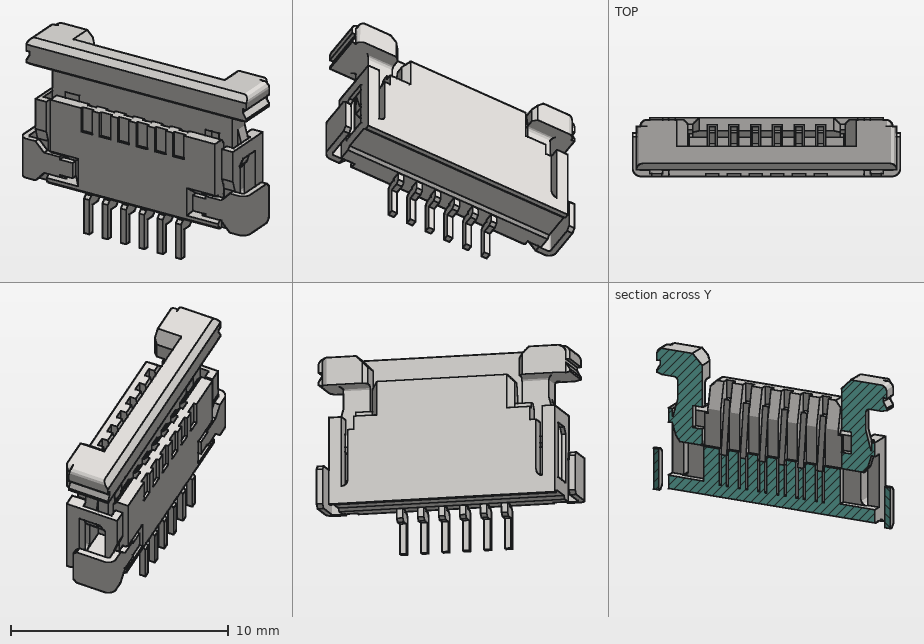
import cadquery as cq


length = 12.3
depth = 2.7
front = -depth / 2
rear = depth / 2
small = 0.01

contact_count = 6
contact_pitch = 1.0
contact_width = 0.3
contact_thickness = 0.3
contact_foot = -2.0
cavity_width = 0.45
cavity_front = -0.91
cavity_rear = 1.03
cavity_floor = 0.74
contact_xs = [(i - (contact_count - 1) / 2) * contact_pitch for i in range(contact_count)]

core_half = 4.48
core_height = 4.29
core_edge_step = 0.1
rim_height = 4.06
shoulder_half = 4.18
shoulder_foot = 3.45
slab_half = 4.65
slab_height = 0.43
underside_step = 0.15
underside_front = -0.44
underside_rear = 1.12
front_groove_width = 0.6
front_groove_depth = 0.14
front_groove_bottom = 3.1

guide_half = 3.38
guide_top = 5.62
guide_chamfer = 0.3
guide_lip_y = 0.75

slot_front = -0.6
slot_rear = 0.6
cable_rear = 0.44
cable_half = 3.57
cable_front = -0.54
cable_floor = 2.5
leg_floor = 0.81
mouth_height = 0.22
mouth_spread = 0.18

arm_inner = 4.77
arm_outer = 5.36
arm_wall = 0.2
arm_pocket_front = -0.84
arm_top = rim_height
arm_front = -1.22
arm_foot_front = -1.03
taper_top = 2.55
taper_bottom = 1.99
window_rear = 0.7
window_top = 3.37
window_corner = 0.28

head_half = 5.98
head_rear_half = 5.79
head_front = -1.05
head_rear = 1.25
head_top = 6.9
head_bottom = 5.61
head_round = 0.31
head_rail_rear = head_rear - head_round
head_front_chamfer = 0.3
head_bottom_chamfer = 0.09
groove_top = 6.27
groove_bottom = 6.11
groove_end = 5.8
neck_half = 4.88
neck_front = -0.53
neck_rear = 0.58
neck_fillet = 0.2
neck_bottom = 2.51
tip_height = 0.28
tip_inset = 0.11
entry_half = 3.6
entry_front = 0.05
entry_flare = 0.5
entry_corner = 0.2
slit_inner = 3.42
slit_outer = 4.18
slit_bottom = 3.32
slit_top = 4.44
slit_taper = 0.11
latch_front = -0.02
latch_top = 4.6
latch_peak = 3.57
latch_low_half = 4.99

clip_thickness = 0.3
clip_height = taper_bottom
clip_rear = 0.65
clip_corner = 0.18
clip_bend = 0.39
flare_outer = 5.28
flare_inner = 4.81
tab_step = 3.96
tab_end = 3.26
tab_low = 0.62
tab_high = 1.39
tab_wide_low = 0.5
tab_wide_high = 1.53

recess_end = 2.95
recess_low = 0.28
recess_high = 1.69
recess_wide_end = 3.69
recess_wide_low = 0.43
recess_wide_high = 1.57


def block(x0, x1, y0, y1, z0, z1):
    """Box between two opposite corners."""
    return cq.Workplane("XY").box(x1 - x0, y1 - y0, z1 - z0, centered=False).translate((x0, y0, z0))


def along_x(points, x0, x1):
    """(Y, Z) outline swept from x0 to x1."""
    return cq.Workplane("YZ", origin=(x0, 0, 0)).polyline(points).close().extrude(x1 - x0)


def along_y(points, y0, y1):
    """(X, Z) outline swept from y0 to y1."""
    return cq.Workplane("XZ", origin=(0, y0, 0)).polyline(points).close().extrude(y0 - y1)


def with_mirror(shape):
    """Shape together with its mirror image about X = 0."""
    return shape.union(shape.mirror("YZ"))


def make_core():
    """Main block with the front foot strip and the raised cable guide."""
    core = block(-core_half, core_half, front, rear, 0, core_height)
    slab = block(-slab_half, slab_half, front, arm_foot_front, 0, slab_height)
    edge_step = block(-slab_half, slab_half, front, front + core_edge_step, 0, core_edge_step)
    rim = block(-core_half, core_half, rear - guide_chamfer, rear, rim_height, core_height)
    rim_end = block(shoulder_half, core_half, slot_rear, rear, shoulder_foot, core_height)
    core = core.union(slab).cut(edge_step).cut(rim).cut(with_mirror(rim_end))
    guide = along_x(
        [(cable_rear, 0), (rear, 0), (rear, guide_top), (guide_lip_y, guide_top), (cable_rear, core_height)],
        -guide_half, guide_half,
    )
    guide = guide.faces("<X or >X").edges(">Z or >Y").chamfer(guide_chamfer)
    return core, guide


def cut_slots(core):
    """Actuator slot, its bevelled mouth and the deeper pockets for the actuator legs."""
    slot = block(-cable_half, cable_half, cable_front, cable_rear, cable_floor, core_height)
    mouth = along_x(
        [
            (slot_front, core_height - mouth_height),
            (slot_front - mouth_spread, core_height),
            (slot_rear + mouth_spread, core_height),
            (slot_rear, core_height - mouth_height),
        ],
        -core_half, core_half,
    )
    leg = block(cable_half - small, core_half, slot_front, slot_rear, leg_floor, core_height)
    return core.cut(slot).cut(mouth).cut(with_mirror(leg))


def cut_front(core):
    """Shallow grooves above the contacts and the funnel-shaped recesses for the clip tabs."""
    half = front_groove_width / 2
    groove_floor = front + front_groove_depth
    for x in contact_xs:
        groove = block(x - half, x + half, front, groove_floor, front_groove_bottom, core_height)
        core = core.cut(groove)
    floor_y = front + clip_thickness
    funnel = (
        cq.Workplane("XZ", origin=(0, front, 0))
        .moveTo((recess_end + arm_inner) / 2, (recess_low + recess_high) / 2)
        .rect(arm_inner - recess_end, recess_high - recess_low)
        .workplane(offset=-clip_thickness)
        .moveTo((tab_end + arm_inner) / 2, (tab_low + tab_high) / 2)
        .rect(arm_inner - tab_end, tab_high - tab_low)
        .loft()
    )
    wide = block(recess_wide_end, arm_inner, front, floor_y, recess_wide_low, recess_wide_high)
    return core.cut(with_mirror(funnel.union(wide)))


def make_arm():
    """Right-hand arm: a hollow post with a side window, joined to the core by a low web."""
    arm = along_x(
        [
            (arm_foot_front, 0), (arm_foot_front, taper_bottom), (arm_front, taper_top),
            (arm_front, arm_top), (rear, arm_top), (rear, 0),
        ],
        arm_inner, arm_outer,
    )
    web = block(core_half - small, arm_outer, arm_foot_front, rear, 0, leg_floor)
    pocket = block(arm_inner, arm_outer - arm_wall, arm_pocket_front, slot_rear, leg_floor, arm_top)
    window = along_x(
        [
            (slot_front, leg_floor), (slot_front, window_top - window_corner),
            (slot_front + window_corner, window_top), (window_rear, window_top), (window_rear, leg_floor),
        ],
        arm_inner, arm_outer,
    )
    gap = arm_inner - core_half
    root_fillet = (
        cq.Workplane("XZ", origin=(0, rear, 0))
        .moveTo(core_half - small, leg_floor - small)
        .lineTo(core_half - small, leg_floor + gap)
        .lineTo(core_half, leg_floor + gap)
        .radiusArc((arm_inner, leg_floor), -gap)
        .lineTo(arm_inner, leg_floor - small)
        .close()
        .extrude(rear - slot_rear)
    )
    return arm.union(web).cut(pocket).cut(window).union(root_fillet)


def make_underside_channel():
    """Shallow channel with sloping sides across the whole underside."""
    return along_x(
        [
            (underside_front, 0), (underside_front + underside_step, underside_step),
            (underside_rear - underside_step, underside_step), (underside_rear, 0),
        ],
        -arm_outer, arm_outer,
    )


def make_cavity(x):
    """Space for one contact, open to the cable slot."""
    half = cavity_width / 2
    return block(x - half, x + half, cavity_front, cavity_rear, cavity_floor, guide_top)


def make_contact(x):
    """Bent contact: spring beam, base bar in the housing and cranked solder leg."""
    stem_front, stem_rear = -0.91, -0.47
    beam_rear, beam_top = 0.93, 4.8
    nose_rear, nose_front = 0.75, 0.65
    nose_dip = 0.09
    root_rear, root_front = 0.16, 0.0
    root_low, root_high = 0.98, 1.08
    base_bottom = 0.3
    crank_top, crank_bottom = -0.1, -0.6
    bend = 0.16
    outline = [
        (stem_rear, base_bottom),
        (beam_rear, base_bottom),
        (beam_rear, beam_top),
        (nose_rear, beam_top - nose_dip),
        (nose_front, beam_top),
        (root_rear, root_low),
        (root_front, root_high),
        (root_front, cavity_floor),
        (stem_front, cavity_floor),
        (stem_front, crank_top),
        (front + bend, crank_top),
        (front, crank_top - bend),
        (front, contact_foot),
        (front + contact_thickness, contact_foot),
        (front + contact_thickness, crank_bottom),
        (stem_rear - bend, crank_bottom),
        (stem_rear, crank_bottom + bend),
    ]
    return along_x(outline, x - contact_width / 2, x + contact_width / 2)


def make_head():
    """Actuator grip bar with bevelled front, side grooves and stepped rear corners."""
    side = [
        (head_half, head_top - head_round), (head_half, groove_top), (head_rear_half, groove_top),
        (head_rear_half, groove_bottom), (head_half, groove_end),
        (head_half, head_bottom + head_bottom_chamfer),
        (head_rear_half - head_bottom_chamfer, head_bottom),
    ]
    outline = cq.Workplane("XZ", origin=(0, head_rear, 0)).moveTo(0, head_top)
    outline = outline.lineTo(head_half - head_round, head_top).radiusArc(side[0], head_round)
    for point in side[1:]:
        outline = outline.lineTo(*point)
    bar = with_mirror(outline.lineTo(0, head_bottom).close().extrude(head_rear - head_front))
    section = along_x(
        [
            (head_rear, head_bottom), (head_rear, head_top),
            (head_front + head_front_chamfer, head_top), (head_front, head_top - head_front_chamfer),
            (head_front, head_bottom + head_bottom_chamfer), (head_front + head_bottom_chamfer, head_bottom),
        ],
        -head_half, head_half,
    )
    rails = block(-head_half, head_half, head_front, head_rail_rear, head_bottom, head_top)
    tail = block(-head_rear_half, head_rear_half, head_front, head_rear, head_bottom, head_top)
    rounded_corners = tail.edges("|Z and >Y").fillet(head_round)
    rounded_top = tail.edges("|Y and >Z").fillet(head_round)
    tail = rounded_corners.intersect(rounded_top)
    return bar.intersect(section).intersect(rails.union(tail))


def make_actuator():
    """Grip bar on a flat neck, with a rear cable entry, two slits and side latches."""
    neck_depth = neck_rear - neck_front
    neck_middle = (neck_front + neck_rear) / 2
    neck = block(-neck_half, neck_half, neck_front, neck_rear, neck_bottom + tip_height, head_bottom + small)
    tip = (
        cq.Workplane("XY", origin=(0, neck_middle, neck_bottom))
        .rect(2 * (neck_half - tip_inset), neck_depth - 2 * tip_inset)
        .workplane(offset=tip_height)
        .rect(2 * neck_half, neck_depth)
        .loft()
    )
    actuator = make_head().union(neck)
    joint = cq.selectors.BoxSelector(
        (-neck_half - small, neck_front - small, head_bottom - small),
        (neck_half + small, neck_rear + small, head_bottom + small),
    )
    actuator = actuator.edges(joint).fillet(neck_fillet).union(tip)
    flare_half = entry_half + entry_flare
    entry = along_y(
        [
            (-entry_half, neck_bottom), (-entry_half, head_top - entry_flare), (-flare_half, head_top),
            (flare_half, head_top), (entry_half, head_top - entry_flare), (entry_half, neck_bottom),
        ],
        entry_front, head_rear,
    )
    corner_half = entry_half + entry_corner
    entry_corners = (
        cq.Workplane("XY", origin=(0, 0, neck_bottom))
        .polyline([
            (-entry_half, head_rear - entry_corner), (-corner_half, head_rear),
            (corner_half, head_rear), (entry_half, head_rear - entry_corner),
        ])
        .close()
        .extrude(head_top - neck_bottom)
    )
    slit = (
        cq.Workplane("XZ", origin=(0, neck_front, 0))
        .moveTo((slit_inner + slit_outer) / 2, (slit_bottom + slit_top) / 2)
        .rect(slit_outer - slit_inner, slit_top - slit_bottom)
        .workplane(offset=-neck_depth)
        .moveTo((slit_inner + slit_outer - slit_taper) / 2, (slit_bottom + slit_top - slit_taper) / 2)
        .rect(slit_outer - slit_taper - slit_inner, slit_top - slit_taper - slit_bottom)
        .loft()
    )
    latch_reach = arm_outer - arm_wall + small
    latch = along_y(
        [
            (neck_half - tip_inset, neck_bottom), (latch_low_half, neck_bottom + tip_height),
            (latch_reach, window_top), (latch_reach, latch_peak), (neck_half, latch_top),
            (neck_half - tip_inset, latch_top),
        ],
        latch_front, neck_rear,
    )
    latch_section = along_x(
        [
            (latch_front, latch_top), (neck_rear, latch_top), (neck_rear, neck_bottom + tip_height),
            (neck_rear - tip_inset, neck_bottom), (latch_front + tip_inset, neck_bottom),
            (latch_front, neck_bottom + tip_height),
        ],
        neck_half - tip_inset, latch_reach,
    )
    latch = latch.intersect(latch_section)
    return actuator.cut(entry).cut(entry_corners).cut(with_mirror(slit)).union(with_mirror(latch))


def make_connector():
    """Housing, actuator and contacts as one solid."""
    core, guide = make_core()
    connector = cut_front(cut_slots(core)).union(guide)
    for x in contact_xs:
        connector = connector.cut(make_cavity(x))
    connector = connector.union(with_mirror(make_arm())).cut(make_underside_channel())
    for x in contact_xs:
        connector = connector.union(make_contact(x))
    return connector.union(make_actuator())


def make_clip():
    """Right-hand clip: L-shaped strip whose front leg narrows to a tab."""
    half = length / 2
    strip = block(tab_end, half, front, clip_rear, 0, clip_height)
    strip = strip.edges("|Z and >X and <Y").fillet(clip_bend)
    inside = block(tab_end, half - clip_thickness, front + clip_thickness, clip_rear, 0, clip_height)
    inside = inside.edges("|Z and >X and <Y").fillet(clip_bend - clip_thickness)
    strip = strip.cut(inside)
    front_outline = along_y(
        [
            (half, 0), (flare_outer, 0), (flare_inner, tab_wide_low), (tab_step, tab_wide_low),
            (tab_step, tab_low), (tab_end, tab_low), (tab_end, tab_high), (tab_step, tab_high),
            (tab_step, tab_wide_high), (flare_inner, tab_wide_high), (flare_outer, clip_height),
            (half, clip_height),
        ],
        front, clip_rear,
    )
    return strip.intersect(front_outline).edges("|X and >Y").chamfer(clip_corner)


connector = make_connector()
right_clip = make_clip()
clips = [right_clip, right_clip.mirror("YZ")]

result = cq.Compound.makeCompound([connector.solids().val(), *[clip.solids().val() for clip in clips]])